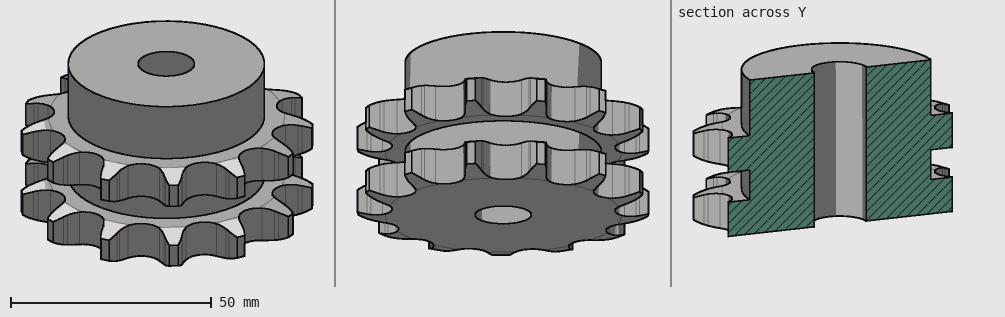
import cadquery as cq
import math


tooth_count = 13
pitch_diameter = 66.4
roller_diameter = 10.2
tip_radius = 36.5
plate_thickness = 9.0
plate_spacing = 16.6
total_height = 40.0
hub_diameter = 49.0
bore_diameter = 14.0

crown_start_radius = 29.45
crown_radius = 16.0
rim_clearance = 0.7

seat_ratio = 0.5025
seat_clearance = 0.035
flank_center_ratio = 0.8
topping_center_ratio = 1.4

half_pitch_angle = 180 / tooth_count
seat_end_angle = 35 + 60 / tooth_count - half_pitch_angle
flank_sweep_angle = 18 - 56 / tooth_count
flank_end_angle = seat_end_angle - flank_sweep_angle


def step(start, distance, degrees):
    """Point reached from start by going a distance in a direction."""
    angle = math.radians(degrees)
    return (start[0] + distance * math.cos(angle), start[1] + distance * math.sin(angle))


def half_tooth():
    """Points on the right half of a tooth that points along +Y, in order from root to tip."""
    seat_center = step((0, 0), pitch_diameter / 2, 90 - half_pitch_angle)
    seat_radius = seat_ratio * roller_diameter + seat_clearance
    root_angle = 270 - half_pitch_angle
    seat_stop_angle = 180 + seat_end_angle
    root = step(seat_center, seat_radius, root_angle)
    seat_mid = step(seat_center, seat_radius, (root_angle + seat_stop_angle) / 2)
    seat_end = step(seat_center, seat_radius, seat_stop_angle)

    flank_offset = flank_center_ratio * roller_diameter
    flank_center = step(seat_center, flank_offset, seat_end_angle)
    flank_radius = seat_radius + flank_offset
    flank_mid = step(flank_center, flank_radius, seat_stop_angle - flank_sweep_angle / 2)
    flank_end = step(flank_center, flank_radius, 180 + flank_end_angle)

    topping_center = step(seat_center, topping_center_ratio * roller_diameter, 180)
    normal = step((0, 0), 1, flank_end_angle)
    topping_radius = (
        (flank_end[0] - topping_center[0]) * normal[0]
        + (flank_end[1] - topping_center[1]) * normal[1]
    )
    topping_start = step(topping_center, topping_radius, flank_end_angle)

    center_distance = math.hypot(*topping_center)
    center_angle = math.degrees(math.atan2(topping_center[1], topping_center[0]))
    cos_at_axis = (tip_radius**2 + center_distance**2 - topping_radius**2) / (
        2 * tip_radius * center_distance
    )
    tip_angle = center_angle - math.degrees(math.acos(cos_at_axis))
    tip = step((0, 0), tip_radius, tip_angle)
    topping_end_angle = math.degrees(math.atan2(tip[1] - topping_center[1], tip[0] - topping_center[0]))
    topping_mid = step(topping_center, topping_radius, (flank_end_angle + topping_end_angle) / 2)

    return root, seat_mid, seat_end, flank_mid, flank_end, topping_start, topping_mid, tip


def turned(point, degrees):
    """Point rotated about the sprocket axis."""
    return step((0, 0), math.hypot(*point), math.degrees(math.atan2(point[1], point[0])) + degrees)


def add_rising_side(outline, points):
    """Extend the outline along one side of a tooth, from root to tip."""
    _, seat_mid, seat_end, flank_mid, flank_end, topping_start, topping_mid, tip = points
    return (
        outline.threePointArc(seat_mid, seat_end)
        .threePointArc(flank_mid, flank_end)
        .lineTo(*topping_start)
        .threePointArc(topping_mid, tip)
    )


def add_falling_side(outline, points):
    """Extend the outline along one side of a tooth, from tip to root."""
    root, seat_mid, seat_end, flank_mid, flank_end, topping_start, topping_mid, _ = points
    return (
        outline.threePointArc(topping_mid, topping_start)
        .lineTo(*flank_end)
        .threePointArc(flank_mid, seat_end)
        .threePointArc(seat_mid, root)
    )


def tooth_outline():
    """Closed outline of the toothed plate, with one tooth pointing along -Y."""
    right = half_tooth()
    left = [(-x, y) for x, y in right]
    first_angle = 180
    outline = cq.Workplane("XY").moveTo(*turned(right[0], first_angle))
    for index in range(tooth_count):
        angle = first_angle + index * 2 * half_pitch_angle
        rising = [turned(point, angle) for point in right]
        falling = [turned(point, angle) for point in left]
        outline = add_rising_side(outline, rising)
        outline = outline.threePointArc(turned((0, tip_radius), angle), falling[-1])
        outline = add_falling_side(outline, falling)
    return outline.close()


def crowned_disc():
    """Disc whose two faces curve inwards, tangentially, towards the rim."""

    def crown_drop(radius):
        return crown_radius - math.sqrt(crown_radius**2 - (radius - crown_start_radius) ** 2)

    mid_radius = (crown_start_radius + tip_radius) / 2
    rim_radius = tip_radius + rim_clearance
    rim_drop = crown_drop(rim_radius)
    mid_drop = crown_drop(mid_radius)
    return (
        cq.Workplane("XZ")
        .lineTo(crown_start_radius, 0)
        .threePointArc((mid_radius, mid_drop), (rim_radius, rim_drop))
        .lineTo(rim_radius, plate_thickness - rim_drop)
        .threePointArc((mid_radius, plate_thickness - mid_drop), (crown_start_radius, plate_thickness))
        .lineTo(0, plate_thickness)
        .close()
        .revolve(360, (0, 0, 0), (0, 1, 0))
    )


plate = tooth_outline().extrude(plate_thickness).intersect(crowned_disc())
hub = cq.Workplane("XY").circle(hub_diameter / 2).extrude(total_height)
bore = cq.Workplane("XY").circle(bore_diameter / 2).extrude(total_height)

result = hub.union(plate).union(plate.translate((0, 0, plate_spacing))).cut(bore)